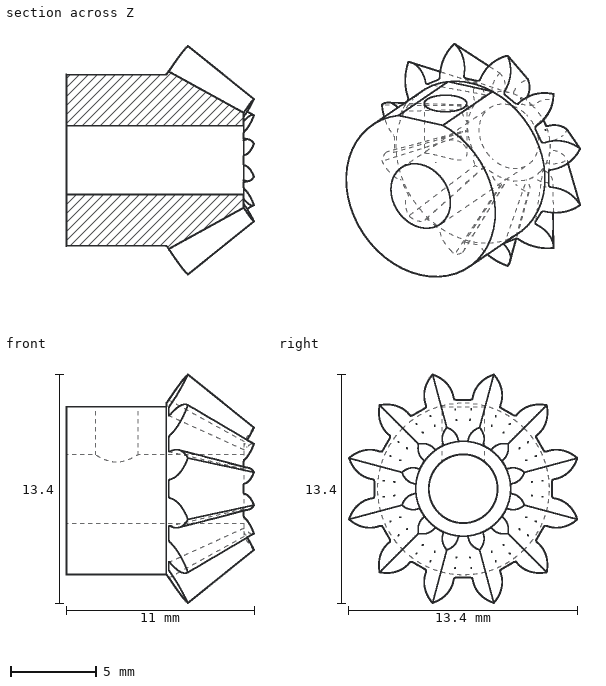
import cadquery as cq
import math

hub_length = 5.86
hub_radius = 5.03
bore_radius = 2.01
flat_height = 4.81
screw_radius = 1.25
screw_x = hub_length / 2

tooth_count = 12
pitch_angle = 360 / tooth_count
half_pitch = math.radians(pitch_angle / 2)
apex_x = 15.45
tip_height = 6.7
tip_radius = tip_height / math.cos(half_pitch)
tip_back_x = 7.12
tip_front_x = 10.99
root_front_x = 10.38
back_slope = (tip_radius - hub_radius) / (tip_back_x - hub_length)
tip_front_radius = tip_radius * (apex_x - tip_front_x) / (apex_x - tip_back_x)
root_front_radius = tip_front_radius - back_slope * (tip_front_x - root_front_x)

floor_end = (0.39, 5.21)
root_round_middle = (0.5, 5.24)
flank_start = (0.55, 5.32)
flank_middle = (0.88, 6.08)
flank_tip = (tip_height * math.tan(half_pitch), tip_height)
gap_side = [flank_tip, flank_middle, flank_start, root_round_middle, floor_end]

blank_margin = 0.67


def project_to_plane(point, plane_x):
    """Move a point of the back cone along its line to the apex, onto the plane at plane_x."""
    radius = math.hypot(*point)
    cone_x = hub_length + (radius - hub_radius) / back_slope
    scale = (apex_x - plane_x) / (apex_x - cone_x)
    return (point[0] * scale, point[1] * scale)


def place(point, side, angle, plane_x):
    """Put a gap point on one side (-1 or 1) of the gap centred at an angle from +Z."""
    across, outward = project_to_plane(point, plane_x)
    across *= side
    turn = math.radians(angle)
    return (
        across * math.cos(turn) + outward * math.sin(turn),
        outward * math.cos(turn) - across * math.sin(turn),
    )


def gear_outline(work, plane_x):
    """Draw the closed outline of all teeth on the current plane at plane_x."""
    work = work.moveTo(*place(flank_tip, -1, 0, plane_x))
    for index in range(tooth_count):
        angle = index * pitch_angle
        tip, flank, base, rounding, floor = [place(p, -1, angle, plane_x) for p in gap_side]
        work = work.threePointArc(flank, base).threePointArc(rounding, floor)
        tip, flank, base, rounding, floor = [place(p, 1, angle, plane_x) for p in gap_side]
        work = work.lineTo(*floor).threePointArc(rounding, base).threePointArc(flank, tip)
    return work.close()


def make_teeth():
    """Tapered teeth trimmed by the back and front cones."""
    tapered = gear_outline(cq.Workplane("YZ", origin=(hub_length, 0, 0)), hub_length)
    tapered = gear_outline(tapered.workplane(offset=tip_front_x - hub_length), tip_front_x)
    tapered = tapered.loft(ruled=True, combine=True)

    margin_x = blank_margin / back_slope
    blank = (
        cq.Workplane("XY")
        .moveTo(hub_length, 0)
        .lineTo(hub_length, hub_radius)
        .lineTo(tip_back_x + margin_x, tip_radius + blank_margin)
        .lineTo(tip_front_x + margin_x, tip_front_radius + blank_margin)
        .lineTo(root_front_x, root_front_radius)
        .lineTo(root_front_x, 0)
        .close()
        .revolve(360, (0, 0, 0), (1, 0, 0))
    )
    return tapered.intersect(blank)


def make_hub():
    """Cylinder with one flat on its +Z side."""
    hub = cq.Workplane("YZ").circle(hub_radius).extrude(hub_length)
    above_flat = (
        cq.Workplane("XY", origin=(0, 0, flat_height))
        .rect(2 * hub_length, 2 * hub_radius)
        .extrude(hub_radius)
    )
    return hub.cut(above_flat)


bore = cq.Workplane("YZ").circle(bore_radius).extrude(tip_front_x)
screw_hole = cq.Workplane("XY").center(screw_x, 0).circle(screw_radius).extrude(hub_radius)

result = make_hub().union(make_teeth()).cut(bore).cut(screw_hole)